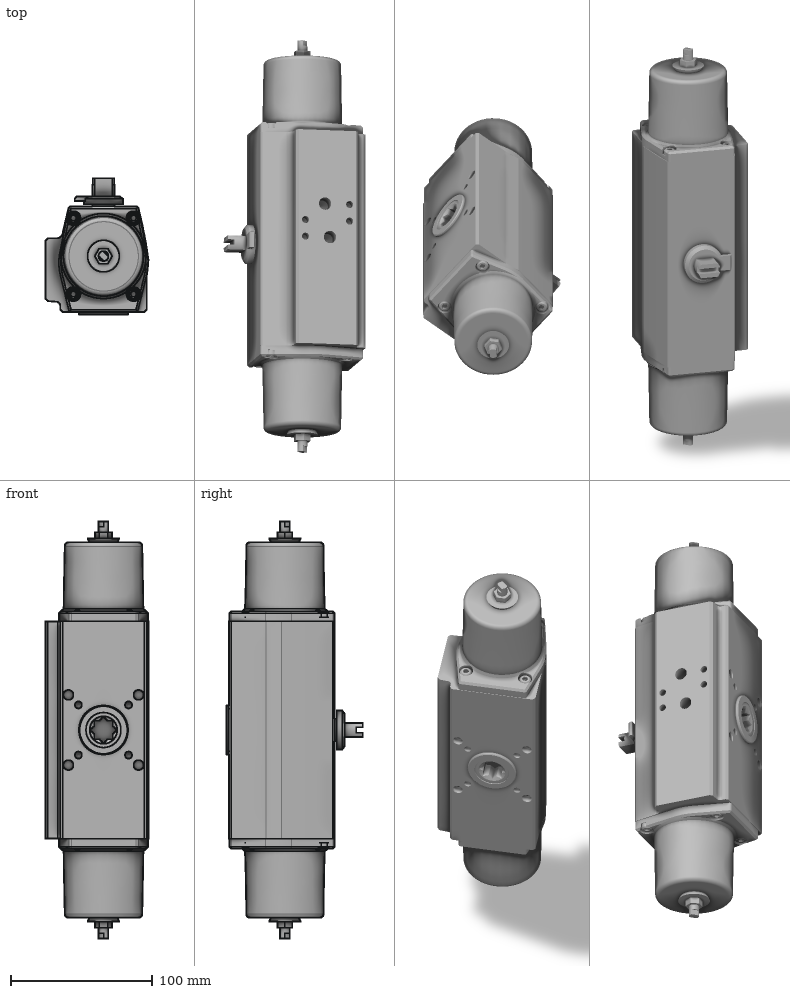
import cadquery as cq
import math


body_half_length = 76.7
plate_top = 84.0
housing_top = 132.8
washer_top = 135.5
nut_top = 139.8
stud_top = 147.5
face_front = -39.5
face_back = 35.0

pad_face = -41.0
pad_bottom = -32.0
pad_top = 12.7
pad_chamfer = 1.8
foot_half_width = 30.7
foot_chamfer = 1.8
back_corner_half_width = 24.8
back_corner_drop = 1.2
wall_top_y = -13.5
bulge_peak = (32.0, -2.7)
bulge_middle = (29.2, 14.0)
pad_fillet_start = (-28.5, 17.5)
pad_fillet_middle = (-29.8, 14.2)
pad_fillet_end_x = -32.5
pad_heel = (-32.5, -32.5)
pad_heel_middle = (-31.3, -33.3)
pad_heel_end_y = -34.5

plate_belly = 31.5
plate_shoulder = 30.5
plate_belly_y = -4.7
plate_shoulder_reach = 9.0
plate_front = -39.2
plate_corner_half_width = 24.2
plate_corner_radius = 1.8
plate_chamfer = 1.5

screw_x = 21.2
screw_back_y = 26.8
screw_front_y = -26.8
screw_pocket_radius = 5.0
screw_pocket_floor = 79.6
screw_pocket_roof = 85.8
screw_head_radius = 4.0
screw_head_top = 83.5
screw_head_chamfer = 1.0
screw_socket_width = 3.8
screw_socket_depth = 2.5

flange_radius = 30.0
flange_height = 1.5
housing_base_radius = 28.3
housing_top_radius = 27.5
housing_rounding = 3.0
washer_radius = 11.2
washer_base_radius = 10.0
nut_across_flats = 10.5
stud_radius = 3.5
stud_flat_length = 3.8
stud_flat_distance = 2.5

corner_hole_offset = 24.8
corner_hole_radius = 3.5
corner_hole_depth = 6.0
tap_hole_offset = 17.7
tap_hole_radius = 2.5
tap_hole_depth = 8.8

boss_radius = 17.5
boss_face = -41.5
boss_chamfer = 0.5
pinion_radius = 12.5
pinion_recess = 0.5
drive_square = 13.3
drive_depth = 11.8
drive_lead_in_radius = 9.7
drive_lead_in_depth = 2.5

neck_radius = 8.0
neck_top = 36.5
disc_radius = 14.0
disc_rim_top = 40.5
disc_top = 42.2
disc_top_radius = 11.5
pointer_reach = 20.5
pointer_half_width = 5.3
pointer_thickness = 3.2
pointer_tip_chamfer = 1.5
shaft_radius = 8.0
shaft_top = 55.2
shaft_flat_width = 10.0
shaft_slot_width = 3.8
shaft_slot_depth = 4.7

drill_point_angle = 118

port_radius = 4.5
port_depth = 11.8
port_upper_z = 24.0
port_places = [(-8.0, port_upper_z), (-11.5, 0)]
port_tap_radius = 2.5
port_tap_depth = 7.5
port_tap_front_y = -25.7
port_tap_back_y = 6.2
port_tap_places = [
    (port_tap_front_y, port_upper_z),
    (port_tap_front_y, port_upper_z / 2),
    (port_tap_back_y, port_upper_z / 2),
    (port_tap_back_y, 0),
]


def drilled_hole(radius, depth, start, direction):
    bore = cq.Solid.makeCylinder(radius, depth, start, direction)
    tip_height = radius / math.tan(math.radians(drill_point_angle / 2))
    tip = cq.Solid.makeCone(radius, 0, tip_height, start + direction * depth, direction)
    return cq.Workplane(bore).union(cq.Workplane(tip))


def rod_along_y(radius, y_start, y_end, x=0, z=0):
    start = cq.Vector(x, y_start, z)
    return cq.Workplane(cq.Solid.makeCylinder(radius, y_end - y_start, start, cq.Vector(0, 1, 0)))


def slab(x_range, y_range, z_range):
    sizes = [high - low for low, high in (x_range, y_range, z_range)]
    corner = (x_range[0], y_range[0], z_range[0])
    return cq.Workplane("XY").box(*sizes, centered=False).translate(corner)


def make_body():
    back_edge_y = face_back - back_corner_drop
    back_flat = back_corner_half_width - back_corner_drop
    foot_flat = foot_half_width - foot_chamfer
    foot_edge_y = face_front + foot_chamfer
    section = (
        cq.Workplane("XY")
        .workplane(offset=-body_half_length)
        .moveTo(-foot_flat, face_front)
        .lineTo(foot_flat, face_front)
        .lineTo(foot_half_width, foot_edge_y)
        .lineTo(foot_half_width, wall_top_y)
        .lineTo(*bulge_peak)
        .threePointArc(bulge_middle, (back_corner_half_width, back_edge_y))
        .lineTo(back_flat, face_back)
        .lineTo(-back_flat, face_back)
        .lineTo(-back_corner_half_width, back_edge_y)
        .lineTo(*pad_fillet_start)
        .threePointArc(pad_fillet_middle, (pad_fillet_end_x, pad_top))
        .lineTo(pad_face + pad_chamfer, pad_top)
        .lineTo(pad_face, pad_top - pad_chamfer)
        .lineTo(pad_face, pad_bottom + pad_chamfer)
        .lineTo(pad_face + pad_chamfer, pad_bottom)
        .lineTo(*pad_heel)
        .threePointArc(pad_heel_middle, (-foot_half_width, pad_heel_end_y))
        .lineTo(-foot_half_width, foot_edge_y)
        .close()
    )
    return section.extrude(2 * body_half_length)


def make_end_plate():
    shoulder_back = plate_belly_y + plate_shoulder_reach
    shoulder_front = plate_belly_y - plate_shoulder_reach
    outline = (
        cq.Workplane("XY")
        .workplane(offset=body_half_length)
        .moveTo(-plate_corner_half_width, plate_front)
        .lineTo(plate_corner_half_width, plate_front)
        .lineTo(plate_shoulder, shoulder_front)
        .threePointArc((plate_belly, plate_belly_y), (plate_shoulder, shoulder_back))
        .lineTo(plate_corner_half_width, face_back)
        .lineTo(-plate_corner_half_width, face_back)
        .lineTo(-plate_shoulder, shoulder_back)
        .threePointArc((-plate_belly, plate_belly_y), (-plate_shoulder, shoulder_front))
        .close()
    )
    plate = outline.extrude(plate_top - body_half_length)
    corners = plate.edges("|Z").edges("<Y or >Y")
    return corners.fillet(plate_corner_radius).faces(">Z").chamfer(plate_chamfer)


def make_housing():
    flange_top = plate_top + flange_height
    shell = (
        cq.Workplane("XZ")
        .moveTo(0, plate_top)
        .lineTo(flange_radius, plate_top)
        .lineTo(housing_base_radius, flange_top)
        .lineTo(housing_top_radius, housing_top)
        .lineTo(0, housing_top)
        .close()
        .revolve(360, (0, 0, 0), (0, 1, 0))
        .faces(">Z")
        .edges()
        .fillet(housing_rounding)
    )
    washer = (
        cq.Workplane("XZ")
        .moveTo(0, housing_top)
        .lineTo(washer_base_radius, housing_top)
        .lineTo(washer_radius, washer_top)
        .lineTo(0, washer_top)
        .close()
        .revolve(360, (0, 0, 0), (0, 1, 0))
    )
    nut_corners = nut_across_flats / math.cos(math.pi / 6)
    nut_plane = cq.Workplane("XY").workplane(offset=washer_top)
    nut = nut_plane.polygon(6, nut_corners).extrude(nut_top - washer_top)
    return shell.union(washer).union(nut).union(make_stud())


def make_stud():
    stud = cq.Workplane("XY").workplane(offset=nut_top).circle(stud_radius).extrude(stud_top - nut_top)
    for side in (-1, 1):
        x_range = sorted((side * stud_flat_distance, 2 * side * stud_radius))
        cutter = slab(x_range, (-stud_radius, stud_radius), (stud_top - stud_flat_length, stud_top))
        stud = stud.cut(cutter.rotate((0, 0, 0), (0, 0, 1), 45))
    return stud


def add_plate_screws(end):
    places = [(x, y) for x in (-screw_x, screw_x) for y in (screw_front_y, screw_back_y)]
    floor = cq.Workplane("XY").workplane(offset=screw_pocket_floor).pushPoints(places)
    pockets = floor.circle(screw_pocket_radius).extrude(screw_pocket_roof - screw_pocket_floor)
    heads = floor.circle(screw_head_radius).extrude(screw_head_top - screw_pocket_floor)
    heads = heads.faces(">Z").chamfer(screw_head_chamfer)
    socket_corners = screw_socket_width / math.cos(math.pi / 6)
    head_plane = cq.Workplane("XY").workplane(offset=screw_head_top).pushPoints(places)
    sockets = head_plane.polygon(6, socket_corners).extrude(-screw_socket_depth)
    return end.cut(pockets).union(heads.cut(sockets))


def make_end():
    return add_plate_screws(make_end_plate().union(make_housing()))


def cut_mounting_holes(part):
    inward = cq.Vector(0, 1, 0)
    corner_hole_floor = face_front + corner_hole_depth
    for x_side in (-1, 1):
        for z_side in (-1, 1):
            corner_x = x_side * corner_hole_offset
            corner_z = z_side * corner_hole_offset
            part = part.cut(rod_along_y(corner_hole_radius, face_front, corner_hole_floor, corner_x, corner_z))
            tap_start = cq.Vector(x_side * tap_hole_offset, face_front, z_side * tap_hole_offset)
            part = part.cut(drilled_hole(tap_hole_radius, tap_hole_depth, tap_start, inward))
    return part


def add_drive_boss(part):
    boss = rod_along_y(boss_radius, boss_face, face_front).faces("<Y").chamfer(boss_chamfer)
    pinion_face = boss_face + pinion_recess
    part = part.union(boss).cut(rod_along_y(pinion_radius, boss_face, pinion_face))
    half = drive_square / 2
    square = slab((-half, half), (pinion_face, pinion_face + drive_depth), (-half, half))
    for angle in (0, 45):
        part = part.cut(square.rotate((0, 0, 0), (0, 1, 0), angle))
    lead_in = cq.Solid.makeCone(
        drive_lead_in_radius, half, drive_lead_in_depth, cq.Vector(0, pinion_face, 0), cq.Vector(0, 1, 0)
    )
    return part.cut(cq.Workplane(lead_in))


def make_indicator():
    neck = rod_along_y(neck_radius, face_back, neck_top)
    disc = rod_along_y(disc_radius, neck_top, disc_top)
    disc = disc.faces(">Y").chamfer(disc_top - disc_rim_top, disc_radius - disc_top_radius)
    pointer = slab(
        (-pointer_reach, 0),
        (disc_top - pointer_thickness, disc_top),
        (-pointer_half_width, pointer_half_width),
    )
    pointer = pointer.edges("<X and >Y").chamfer(pointer_tip_chamfer)
    return neck.union(disc).union(pointer)


def make_shaft_end():
    shaft = rod_along_y(shaft_radius, disc_top, shaft_top)
    flat = shaft_flat_width / 2
    shaft = shaft.intersect(slab((-shaft_radius, shaft_radius), (disc_top, shaft_top), (-flat, flat)))
    slot = shaft_slot_width / 2
    slot_floor = shaft_top - shaft_slot_depth
    return shaft.cut(slab((-shaft_radius, shaft_radius), (slot_floor, shaft_top), (-slot, slot)))


def cut_ports(part):
    patterns = (
        (port_places, port_radius, port_depth),
        (port_tap_places, port_tap_radius, port_tap_depth),
    )
    for places, radius, depth in patterns:
        for y, z in places:
            part = part.cut(drilled_hole(radius, depth, cq.Vector(pad_face, y, z), cq.Vector(1, 0, 0)))
    return part


upper_end = make_end()
lower_end = upper_end.mirror("XY")
actuator = make_body().union(upper_end).union(lower_end)
actuator = add_drive_boss(cut_mounting_holes(actuator))
actuator = cut_ports(actuator)
result = actuator.union(make_indicator()).union(make_shaft_end())